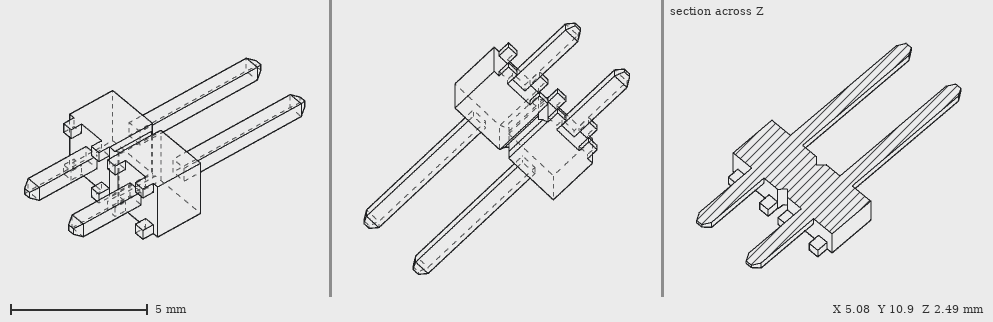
import cadquery as cq


PIN_COUNT = 2
PITCH = 2.54
BODY_DEPTH = 2.03
BODY_HEIGHT = 2.49

PIN_SIDE = 0.64
PIN_FRONT_LENGTH = 3.05
PIN_REAR_LENGTH = 5.84
TIP_SIDE = 0.28
TIP_LENGTH = 0.32

STANDOFF_SIDE = 0.44
STANDOFF_LENGTH = 0.49
STANDOFF_INSET = 0.25

FACE_NOTCH_WIDTH = 2 * STANDOFF_INSET
FACE_NOTCH_DEPTH = FACE_NOTCH_WIDTH / 2
TOP_NOTCH_DEPTH = 0.21
TOP_NOTCH_WIDTH = 0.46
TOP_NOTCH_FLOOR = 0.22

BODY_WIDTH = PIN_COUNT * PITCH
FRONT_Y = -BODY_DEPTH / 2
REAR_Y = BODY_DEPTH / 2
HALF_HEIGHT = BODY_HEIGHT / 2
PIN_CENTERS = [(i - (PIN_COUNT - 1) / 2) * PITCH for i in range(PIN_COUNT)]
NOTCH_CENTERS = [x + PITCH / 2 for x in PIN_CENTERS[:-1]]


def face_notch(x, side):
    """V-groove along Z in the front (side = -1) or rear (side = 1) face."""
    face_y = side * BODY_DEPTH / 2
    return (
        cq.Workplane("XY")
        .moveTo(x - FACE_NOTCH_WIDTH / 2, face_y)
        .lineTo(x, face_y - side * FACE_NOTCH_DEPTH)
        .lineTo(x + FACE_NOTCH_WIDTH / 2, face_y)
        .close()
        .extrude(HALF_HEIGHT, both=True)
    )


def top_notch(x, side):
    """Flat-bottomed groove along Y in the top (side = 1) or bottom (side = -1)."""
    face_z = side * HALF_HEIGHT
    floor_z = face_z - side * TOP_NOTCH_DEPTH
    return (
        cq.Workplane("XZ")
        .moveTo(x - TOP_NOTCH_WIDTH / 2, face_z)
        .lineTo(x - TOP_NOTCH_FLOOR / 2, floor_z)
        .lineTo(x + TOP_NOTCH_FLOOR / 2, floor_z)
        .lineTo(x + TOP_NOTCH_WIDTH / 2, face_z)
        .close()
        .extrude(BODY_DEPTH / 2, both=True)
    )


def make_body():
    """Insulator block with its snap-off notches."""
    body = cq.Workplane("XY").box(BODY_WIDTH, BODY_DEPTH, BODY_HEIGHT)
    for x in NOTCH_CENTERS:
        for side in (-1, 1):
            body = body.cut(face_notch(x, side)).cut(top_notch(x, side))
    return body


def make_standoffs(x):
    """Four square standoffs on the front face around the pin at x."""
    offset_x = PITCH / 2 - STANDOFF_INSET - STANDOFF_SIDE / 2
    offset_z = HALF_HEIGHT - STANDOFF_SIDE / 2
    corners = [(x + sx * offset_x, sz * offset_z) for sx in (-1, 1) for sz in (-1, 1)]
    return (
        cq.Workplane("XZ", origin=(0, FRONT_Y, 0))
        .pushPoints(corners)
        .rect(STANDOFF_SIDE, STANDOFF_SIDE)
        .extrude(STANDOFF_LENGTH)
    )


def pin_tip(x, base_y, tip_y):
    """Truncated pyramid that tapers from the pin section to the small end."""
    return (
        cq.Workplane("XZ", origin=(x, base_y, 0))
        .rect(PIN_SIDE, PIN_SIDE)
        .workplane(offset=base_y - tip_y)
        .rect(TIP_SIDE, TIP_SIDE)
        .loft(ruled=True)
    )


def make_pin(x):
    """Square pin through the body, tapered at both ends."""
    front_tip_y = FRONT_Y - PIN_FRONT_LENGTH
    rear_tip_y = REAR_Y + PIN_REAR_LENGTH
    front_base_y = front_tip_y + TIP_LENGTH
    rear_base_y = rear_tip_y - TIP_LENGTH
    shank = (
        cq.Workplane("XZ", origin=(x, rear_base_y, 0))
        .rect(PIN_SIDE, PIN_SIDE)
        .extrude(rear_base_y - front_base_y)
    )
    front_tip = pin_tip(x, front_base_y, front_tip_y)
    rear_tip = pin_tip(x, rear_base_y, rear_tip_y)
    return shank.union(front_tip).union(rear_tip)


result = make_body()
for pin_x in PIN_CENTERS:
    result = result.union(make_standoffs(pin_x)).union(make_pin(pin_x))